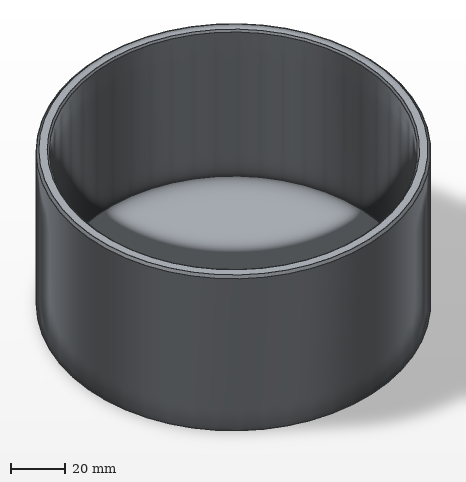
import cadquery as cq

outer_diameter = 145.0
inner_diameter = 135.3
height = 75.0
floor_thickness = 5.0
outer_chamfer = 1.0
mouth_chamfer = 0.75

body = cq.Workplane("XY").circle(outer_diameter / 2).extrude(height)
body = body.faces("<Z or >Z").edges().chamfer(outer_chamfer)

cavity = (
    cq.Workplane("XY")
    .workplane(offset=floor_thickness)
    .circle(inner_diameter / 2)
    .extrude(height - floor_thickness)
)
cup = body.cut(cavity)

mouth_edge = cq.selectors.RadiusNthSelector(0)
result = cup.faces(">Z").edges(mouth_edge).chamfer(mouth_chamfer)